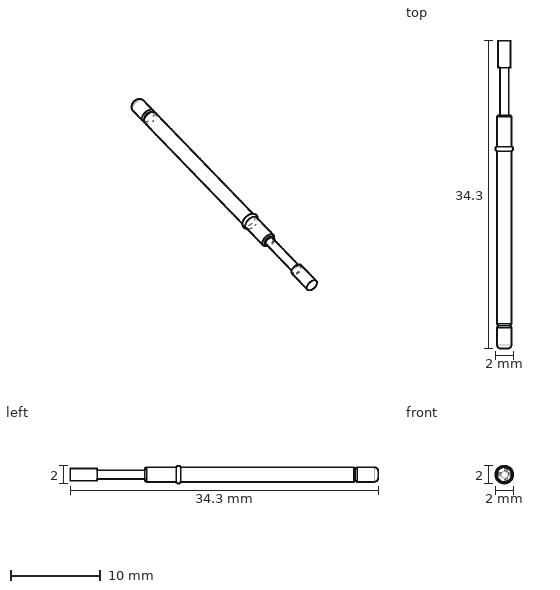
import cadquery as cq
import math


total_length = 34.3
plunger_length = 8.3
head_length = 3.0
barrel_above_collar = 3.5
collar_width = 0.5

head_radius = 1.4 / 2
stem_radius = 1.0 / 2
barrel_radius = 1.65 / 2
collar_radius = 2.0 / 2

mouth_taper_length = 0.2
mouth_taper_depth = 0.125
tail_fillet = 0.45

groove_from_tail = 2.55
groove_half_width = 0.2
groove_depth = 0.15

mouth_y = barrel_above_collar
head_top_y = mouth_y + plunger_length
head_bottom_y = head_top_y - head_length
tail_y = head_top_y - total_length
groove_y = tail_y + groove_from_tail


def turn(profile):
    """Revolve a half section, drawn as (Y, radius), about the Y axis."""
    return profile.close().revolve(360, (0, 0, 0), (1, 0, 0))


def make_plunger():
    return turn(
        cq.Workplane("YZ")
        .moveTo(mouth_y, 0)
        .lineTo(mouth_y, stem_radius)
        .lineTo(head_bottom_y, stem_radius)
        .lineTo(head_bottom_y, head_radius)
        .lineTo(head_top_y, head_radius)
        .lineTo(head_top_y, 0)
    )


def make_barrel():
    """Closed tube with a tapered mouth and a rounded tail."""
    tail_flat_radius = barrel_radius - tail_fillet
    tail_arc_y = tail_y + tail_fillet
    arc_middle = tail_fillet * math.sqrt(0.5)
    return turn(
        cq.Workplane("YZ")
        .moveTo(tail_y, 0)
        .lineTo(tail_y, tail_flat_radius)
        .threePointArc(
            (tail_arc_y - arc_middle, tail_flat_radius + arc_middle),
            (tail_arc_y, barrel_radius),
        )
        .lineTo(mouth_y - mouth_taper_length, barrel_radius)
        .lineTo(mouth_y, barrel_radius - mouth_taper_depth)
        .lineTo(mouth_y, 0)
    )


def make_collar():
    """Press-fit ring whose rim bulges from the barrel surface as a single arc."""
    return turn(
        cq.Workplane("YZ")
        .moveTo(-collar_width, 0)
        .lineTo(-collar_width, barrel_radius)
        .threePointArc((-collar_width / 2, collar_radius), (0, barrel_radius))
        .lineTo(0, 0)
    )


def make_crimp_groove():
    """Ring-shaped cutter with a V section."""
    lower_edge_y = groove_y - groove_half_width
    upper_edge_y = groove_y + groove_half_width
    return turn(
        cq.Workplane("YZ")
        .moveTo(lower_edge_y, barrel_radius)
        .lineTo(groove_y, barrel_radius - groove_depth)
        .lineTo(upper_edge_y, barrel_radius)
        .lineTo(upper_edge_y, collar_radius)
        .lineTo(lower_edge_y, collar_radius)
    )


barrel = make_barrel().cut(make_crimp_groove())
result = barrel.union(make_collar()).union(make_plunger())